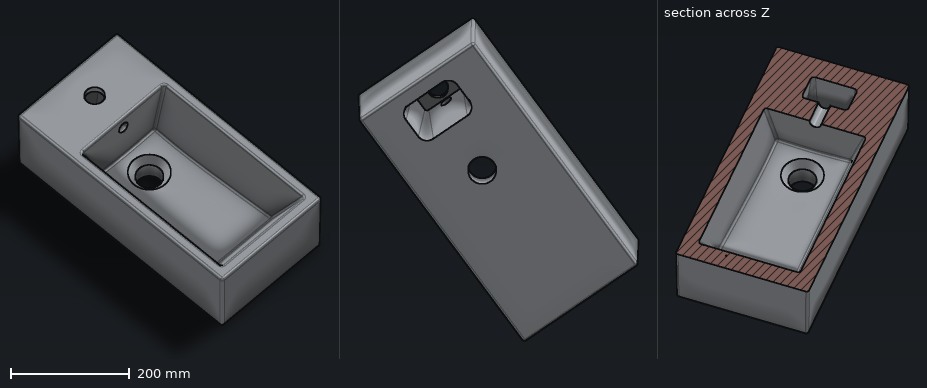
import cadquery as cq
import math

length = 485.0
width = 240.0
height = 140.0
outer_draft = 0.6
edge_radius = 5.0

basin_left = 131.5
basin_right = 464.0
basin_half_width = 100.0
left_wall_angle = 4.8
right_wall_angle = 31.1
side_wall_angle = 19.2
basin_radius = 5.0

drain_x = 195.0
drain_radius = 24.0
drain_rim_radius = 36.5
drain_rim_height = 12.5
floor_depth = 97.0
floor_slope = 3.7

tap_x = 65.5
tap_radius = 17.5
deck_thickness = 12.5
pocket_length = 45.5
pocket_width = 79.5
pocket_corner_radius = 5.0
pocket_draft = 6.0

overflow_radius = 10.0
overflow_z = -25.0


def run_over(distance, angle):
    """Sideways offset of a face leaning by `angle` degrees over `distance`."""
    return distance * math.tan(math.radians(angle))


def outer_block():
    rim_allowance = 2 * run_over(edge_radius, outer_draft)
    block = (
        cq.Workplane("XY")
        .center(length / 2, 0)
        .rect(length + rim_allowance, width + rim_allowance)
        .extrude(-height, taper=outer_draft)
    )
    return block.edges().fillet(edge_radius)


def sloping_walls(depth):
    """Tapered block bounded by the four basin walls, from the rim down to `depth`."""
    left = basin_left + run_over(depth, left_wall_angle)
    right = basin_right - run_over(depth, right_wall_angle)
    half_width = basin_half_width - run_over(depth, side_wall_angle)
    return (
        cq.Workplane("XY")
        .center((basin_left + basin_right) / 2, 0)
        .rect(basin_right - basin_left, 2 * basin_half_width)
        .workplane(offset=-depth)
        .center((left + right - basin_left - basin_right) / 2, 0)
        .rect(right - left, 2 * half_width)
        .loft(ruled=True)
    )


def space_above_floor():
    """Everything above the shallow cone that falls towards the drain."""
    return (
        cq.Workplane("XZ", origin=(drain_x, 0, 0))
        .moveTo(0, -floor_depth)
        .lineTo(length, -floor_depth + run_over(length, floor_slope))
        .lineTo(length, 0)
        .lineTo(0, 0)
        .close()
        .revolve(360, (0, 0, 0), (0, 1, 0))
    )


def basin():
    space = sloping_walls(floor_depth + basin_radius).intersect(space_above_floor())
    rim_edges = space.faces(">Z").edges().vals()
    inner_edges = [
        edge for edge in space.edges().vals()
        if not any(edge.isSame(rim_edge) for rim_edge in rim_edges)
    ]
    return space.newObject(inner_edges).fillet(basin_radius)


def round_basin_lip(body):
    margin = basin_radius / 2
    lip = cq.selectors.BoxSelector(
        (basin_left - margin, -basin_half_width - margin, -margin),
        (basin_right + margin, basin_half_width + margin, margin),
    )
    return body.faces(">Z").edges(lip).fillet(edge_radius)


def drain():
    """Drain bore with a flared rim, continued upwards through the empty basin."""
    rim_z = -floor_depth + run_over(drain_rim_radius, floor_slope)
    return (
        cq.Workplane("XZ", origin=(drain_x, 0, 0))
        .moveTo(0, -height)
        .lineTo(drain_radius, -height)
        .lineTo(drain_radius, rim_z - drain_rim_height)
        .lineTo(drain_rim_radius, rim_z)
        .lineTo(drain_rim_radius, 0)
        .lineTo(0, 0)
        .close()
        .revolve(360, (0, 0, 0), (0, 1, 0))
    )


def tap_hole():
    return cq.Workplane("XY").center(tap_x, 0).circle(tap_radius).extrude(-height)


def tap_pocket():
    depth = height - deck_thickness
    return (
        cq.Workplane("XY", origin=(tap_x, 0, -deck_thickness))
        .sketch()
        .rect(pocket_length, pocket_width)
        .vertices()
        .fillet(pocket_corner_radius)
        .finalize()
        .extrude(-depth, taper=-pocket_draft)
    )


def overflow_hole():
    basin_wall_x = basin_left + run_over(-overflow_z + overflow_radius, left_wall_angle)
    return (
        cq.Workplane("YZ", origin=(tap_x, 0, overflow_z))
        .circle(overflow_radius)
        .extrude(basin_wall_x - tap_x)
    )


result = round_basin_lip(outer_block().cut(basin()))
for opening in (drain(), tap_hole(), tap_pocket(), overflow_hole()):
    result = result.cut(opening)